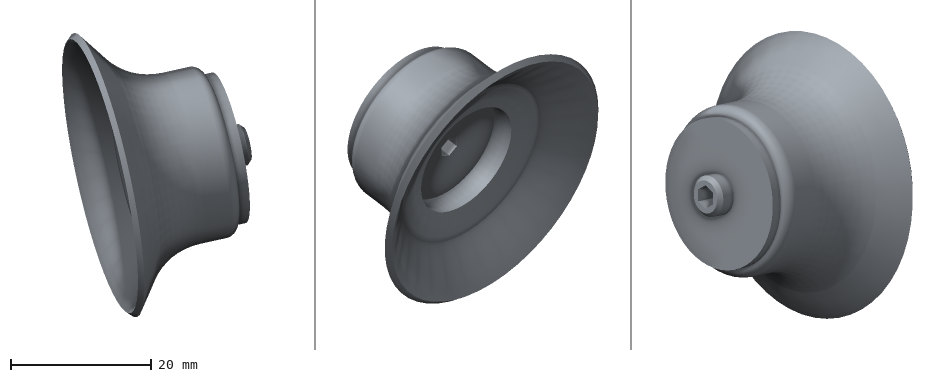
import cadquery as cq
import math


rim_diameter = 41.5
neck_diameter = 25.0
plate_diameter = 22.0
stud_diameter = 6.0

total_length = 21.8
lip_bevel = 0.75
neck_start = 11.95
shoulder_end = 17.5
plate_end = 19.1

flare_radius = 10.0
flare_angle = 53.1
shoulder_radius = 1.58
stud_chamfer = 0.62

ring_outer_diameter = 26.48
ring_inner_diameter = neck_diameter
recess_diameter = 17.5
ring_depth = 5.1
recess_start = 6.05
recess_floor = 9.63

hex_across_flats = 3.0

rim_radius = rim_diameter / 2
neck_radius = neck_diameter / 2
stud_radius = stud_diameter / 2


def flare_point(angle):
    """Point (radius, distance) on the concave flare, angle turned away from the axis."""
    turn = math.radians(angle)
    return (
        neck_radius + flare_radius * (1 - math.cos(turn)),
        neck_start - flare_radius * math.sin(turn),
    )


def make_body():
    """Solid outer shape: lip, flared skirt, neck, rounded shoulder, plate and stud."""
    shoulder_offset = shoulder_radius * math.sqrt(0.5)
    shoulder_middle = (
        neck_radius - shoulder_radius + shoulder_offset,
        shoulder_end - shoulder_radius + shoulder_offset,
    )
    return (
        cq.Workplane("XY")
        .lineTo(rim_radius - lip_bevel, 0)
        .lineTo(rim_radius, lip_bevel)
        .lineTo(*flare_point(flare_angle))
        .threePointArc(flare_point(flare_angle / 2), flare_point(0))
        .lineTo(neck_radius, shoulder_end - shoulder_radius)
        .threePointArc(shoulder_middle, (neck_radius - shoulder_radius, shoulder_end))
        .lineTo(plate_diameter / 2, shoulder_end)
        .lineTo(plate_diameter / 2, plate_end)
        .lineTo(stud_radius, plate_end)
        .lineTo(stud_radius, total_length - stud_chamfer)
        .lineTo(stud_radius - stud_chamfer, total_length)
        .lineTo(0, total_length)
        .close()
        .revolve(360, (0, 0, 0), (0, 1, 0))
    )


def make_cavity():
    """Hollow of the cup: wide cone, narrow ring, shallow cone and round recess."""
    return (
        cq.Workplane("XY")
        .lineTo(rim_radius - lip_bevel, 0)
        .lineTo(ring_outer_diameter / 2, ring_depth)
        .lineTo(ring_inner_diameter / 2, ring_depth)
        .lineTo(recess_diameter / 2, recess_start)
        .lineTo(recess_diameter / 2, recess_floor)
        .lineTo(0, recess_floor)
        .close()
        .revolve(360, (0, 0, 0), (0, 1, 0))
    )


def make_hex_hole():
    """Hexagonal prism running the whole length of the part."""
    across_corners = hex_across_flats / math.cos(math.radians(30))
    return (
        cq.Workplane("XZ")
        .transformed(rotate=(0, 0, 90))
        .polygon(6, across_corners)
        .extrude(-total_length)
    )


result = make_body().cut(make_cavity()).cut(make_hex_hole())